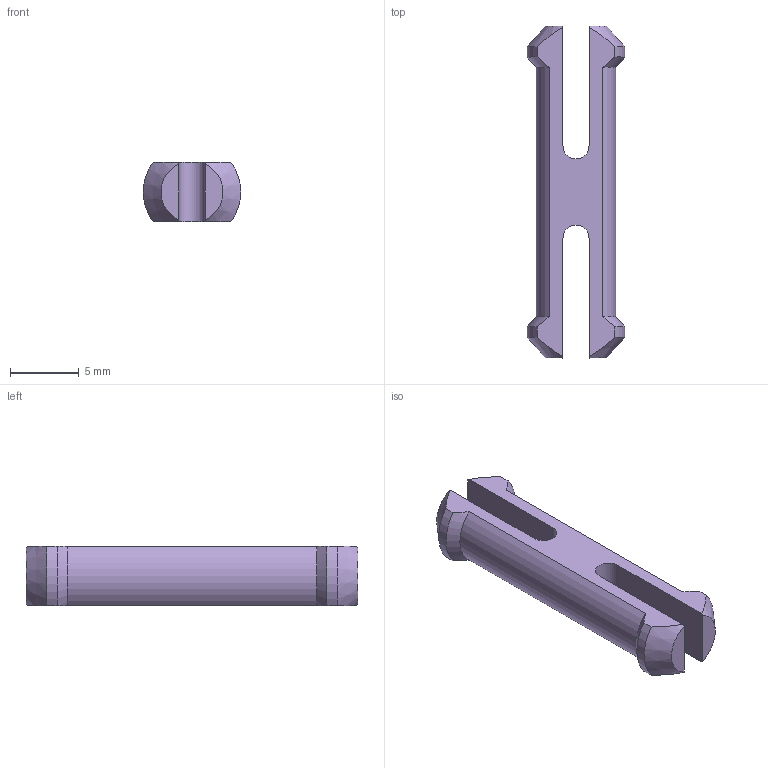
import cadquery as cq

length = 24.1
thickness = 4.3
head_diameter = 7.1

shaft_radius = 2.875
head_radius = head_diameter / 2
tip_radius = 2.25
tip_cone_length = 1.5
rim_length = 0.75
shoulder_length = 0.75

slot_width = 1.9
web_length = 4.8

end_y = length / 2


def make_round_pin():
    """Shaft with a conical snap head at each end, revolved about Y."""
    rim_outer_y = end_y - tip_cone_length
    rim_inner_y = rim_outer_y - rim_length
    shaft_end_y = rim_inner_y - shoulder_length
    head_profile = [
        (shaft_radius, shaft_end_y),
        (head_radius, rim_inner_y),
        (head_radius, rim_outer_y),
        (tip_radius, end_y),
    ]
    mirrored_profile = [(radius, -y) for radius, y in reversed(head_profile)]
    outline = [(0, -end_y)] + mirrored_profile + head_profile + [(0, end_y)]
    return cq.Workplane("XY").polyline(outline).close().revolve(360, (0, 0, 0), (0, 1, 0))


def make_flats_envelope():
    """Slab whose faces become the top and bottom flats."""
    return cq.Workplane("XY").box(head_diameter, length, thickness)


def make_slot(direction):
    """Open-ended slot with a round bottom; direction is +1 or -1 along Y."""
    slot_radius = slot_width / 2
    bottom_y = direction * web_length / 2
    arc_start_y = bottom_y + direction * slot_radius
    open_y = direction * end_y
    return (
        cq.Workplane("XY")
        .moveTo(-slot_radius, open_y)
        .lineTo(-slot_radius, arc_start_y)
        .threePointArc((0, bottom_y), (slot_radius, arc_start_y))
        .lineTo(slot_radius, open_y)
        .close()
        .extrude(thickness, both=True)
    )


result = make_round_pin().intersect(make_flats_envelope())
for direction in (1, -1):
    result = result.cut(make_slot(direction))